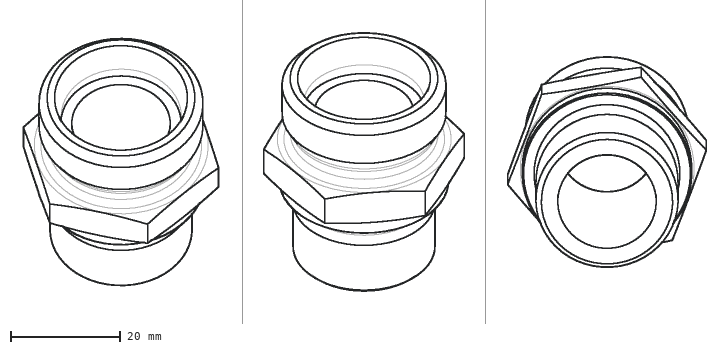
import cadquery as cq
import math

total_height = 40.0
hex_bottom = 19.0
hex_top = 26.0
flange_bottom = 16.0

hex_across_flats = 32.0
hex_face_diameter = 31.8
hex_chamfer_angle = math.radians(15)
hex_half_sector = 360 / 6 / 2
hex_envelope_margin = 1.0

upper_radius = 30.0 / 2
upper_neck_radius = 27.0 / 2
upper_chamfer = 1.5
upper_thread_bottom = 32.0
upper_cone_angle = math.radians(30)
upper_neck_blend = 1.5
hex_fillet = 1.2

flange_radius = 31.0 / 2
flange_chamfer = 0.25

lower_radius = 26.0 / 2
lower_chamfer = 1.0
lower_thread_top = 11.4
undercut_radius = 11.9
undercut_blend = 1.1
undercut_upper_angle = math.radians(35)
undercut_lower_angle = math.radians(30)

bore_radius = 18.0 / 2
socket_radius = 22.0 / 2
socket_mouth_radius = 24.3 / 2
socket_depth = 7.5
socket_half_angle = math.radians(12)


def turned_body():
    """Revolve the stud ends, their undercuts and the flange as one shaft."""
    cone_end = upper_thread_bottom - (upper_radius - upper_neck_radius) / math.tan(upper_cone_angle)
    tangent = upper_neck_blend * math.tan(upper_cone_angle / 2)
    neck_arc_bottom = cone_end - tangent
    neck_arc_center = upper_neck_radius + upper_neck_blend

    def neck_arc_point(angle):
        return (
            neck_arc_center - upper_neck_blend * math.cos(angle),
            neck_arc_bottom + upper_neck_blend * math.sin(angle),
        )

    fillet_mid = hex_fillet * (1 - math.sqrt(0.5))

    undercut_center = undercut_radius + undercut_blend
    lower_tangent_radius = undercut_center - undercut_blend * math.cos(undercut_lower_angle)
    undercut_z = (
        lower_thread_top
        + (lower_radius - lower_tangent_radius) / math.tan(undercut_lower_angle)
        + undercut_blend * math.sin(undercut_lower_angle)
    )

    def undercut_point(angle):
        return (
            undercut_center - undercut_blend * math.cos(angle),
            undercut_z + undercut_blend * math.sin(angle),
        )

    upper_tangent_radius, upper_tangent_z = undercut_point(undercut_upper_angle)
    cone_height = flange_bottom - upper_tangent_z
    cone_mouth_radius = upper_tangent_radius + cone_height * math.tan(undercut_upper_angle)

    profile = (
        cq.Workplane("XZ")
        .moveTo(0, 0)
        .lineTo(lower_radius - lower_chamfer, 0)
        .lineTo(lower_radius, lower_chamfer)
        .lineTo(lower_radius, lower_thread_top)
        .lineTo(*undercut_point(-undercut_lower_angle))
        .threePointArc(undercut_point(0), (upper_tangent_radius, upper_tangent_z))
        .lineTo(cone_mouth_radius, flange_bottom)
        .lineTo(flange_radius - flange_chamfer, flange_bottom)
        .lineTo(flange_radius, flange_bottom + flange_chamfer)
        .lineTo(flange_radius, hex_top)
        .lineTo(upper_neck_radius + hex_fillet, hex_top)
        .threePointArc(
            (upper_neck_radius + fillet_mid, hex_top + fillet_mid),
            (upper_neck_radius, hex_top + hex_fillet),
        )
        .lineTo(upper_neck_radius, neck_arc_bottom)
        .threePointArc(neck_arc_point(upper_cone_angle / 2), neck_arc_point(upper_cone_angle))
        .lineTo(upper_radius, upper_thread_bottom)
        .lineTo(upper_radius, total_height - upper_chamfer)
        .lineTo(upper_radius - upper_chamfer, total_height)
        .lineTo(0, total_height)
        .close()
    )
    return profile.revolve(360, (0, 0, 0), (0, 1, 0))


def hexagon():
    """Hexagon with flats facing +X and -X, its corners chamfered on both faces."""
    corner_diameter = hex_across_flats / math.cos(math.radians(hex_half_sector))
    prism = (
        cq.Workplane("XY")
        .workplane(offset=hex_bottom)
        .polygon(6, corner_diameter)
        .extrude(hex_top - hex_bottom)
        .rotate((0, 0, 0), (0, 0, 1), hex_half_sector)
    )
    face_radius = hex_face_diameter / 2
    envelope_radius = corner_diameter / 2 + hex_envelope_margin
    drop = (envelope_radius - face_radius) * math.tan(hex_chamfer_angle)
    envelope = (
        cq.Workplane("XZ")
        .moveTo(0, hex_bottom)
        .lineTo(face_radius, hex_bottom)
        .lineTo(envelope_radius, hex_bottom + drop)
        .lineTo(envelope_radius, hex_top - drop)
        .lineTo(face_radius, hex_top)
        .lineTo(0, hex_top)
        .close()
        .revolve(360, (0, 0, 0), (0, 1, 0))
    )
    return prism.intersect(envelope)


def bore():
    """Through bore opening into a tube socket with a conical mouth at the top."""
    cone_depth = (socket_mouth_radius - socket_radius) / math.tan(socket_half_angle)
    return (
        cq.Workplane("XZ")
        .moveTo(0, 0)
        .lineTo(bore_radius, 0)
        .lineTo(bore_radius, total_height - socket_depth)
        .lineTo(socket_radius, total_height - socket_depth)
        .lineTo(socket_radius, total_height - cone_depth)
        .lineTo(socket_mouth_radius, total_height)
        .lineTo(0, total_height)
        .close()
        .revolve(360, (0, 0, 0), (0, 1, 0))
    )


result = turned_body().union(hexagon()).cut(bore())